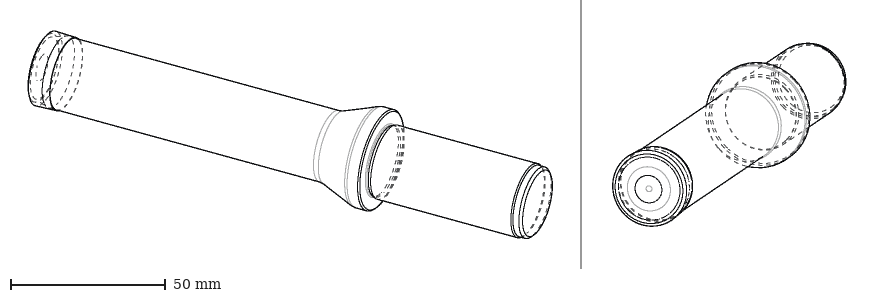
import cadquery as cq
import math

TOTAL_LENGTH = 178.0

CAP_DIAMETER = 25.1
CAP_END_DIAMETER = 24.5
CAP_END = 8.7
CAP_CHAMFER_END = 1.2
FACE_DIAMETER = 23.0
FACE_EDGE = 0.5
RING_BASE_DIAMETER = 14.6
RING_CREST_DIAMETER = 9.0
DISH_FLOOR_DIAMETER = 2.0
RING_SLOPE = math.tan(math.radians(9))
RING_HEIGHT = (RING_BASE_DIAMETER - RING_CREST_DIAMETER) / 2 * RING_SLOPE
DISH_DEPTH = (RING_CREST_DIAMETER - DISH_FLOOR_DIAMETER) / 2 * RING_SLOPE

TIP_DIAMETER = 20.8
TIP_FACE = 0.9
TIP_TAPER_END = 5.9

SHAFT_DIAMETER = 24.0
SHAFT_END = 103.6
CONE_BLEND_RADIUS = 5.3
CONE_BLEND_SETBACK = 0.7
FLANGE_DIAMETER = 34.0
FLANGE_SHOULDER = 117.3
FLANGE_BLEND_RADIUS = 2.7
FLANGE_BACK = 122.1
FLANGE_CHAMFER = 0.5
CONE_START = SHAFT_END + CONE_BLEND_SETBACK

SPIGOT_DIAMETER = 25.0
NECK_DIAMETER = 24.0
NECK_FILLET = 0.4
NECK_END = 123.0
SPIGOT_LEAD_LENGTH = 1.0
SPIGOT_END = 174.5
STEP_CHAMFER = 0.5
END_DIAMETER = 24.0
END_CHAMFER = 0.9


def revolve_profile(points):
    """Turn an outline of (x, radius) points, closed along the axis, into a solid."""
    return cq.Workplane("XY").polyline(points).close().revolve(360, (0, 0, 0), (1, 0, 0))


def edges_at(body, x, diameter):
    """Select the circular edge of the given diameter at position x."""
    tolerance = 0.02
    reach = diameter / 2 + tolerance
    corner_low = (x - tolerance, -reach, -reach)
    corner_high = (x + tolerance, reach, reach)
    return body.edges(cq.selectors.BoxSelector(corner_low, corner_high, boundingbox=True))


def make_cap():
    return revolve_profile([
        (DISH_DEPTH, 0),
        (DISH_DEPTH, DISH_FLOOR_DIAMETER / 2),
        (0, RING_CREST_DIAMETER / 2),
        (RING_HEIGHT, RING_BASE_DIAMETER / 2),
        (FACE_EDGE, FACE_DIAMETER / 2),
        (CAP_CHAMFER_END, CAP_DIAMETER / 2),
        (CAP_END, CAP_END_DIAMETER / 2),
        (CAP_END, SHAFT_DIAMETER / 2),
        (TIP_TAPER_END, SHAFT_DIAMETER / 2),
        (TIP_FACE, TIP_DIAMETER / 2),
        (TIP_FACE, 0),
    ])


def make_post():
    post = revolve_profile([
        (TIP_FACE, 0),
        (TIP_FACE, TIP_DIAMETER / 2),
        (TIP_TAPER_END, SHAFT_DIAMETER / 2),
        (CONE_START, SHAFT_DIAMETER / 2),
        (FLANGE_SHOULDER, FLANGE_DIAMETER / 2),
        (FLANGE_BACK - FLANGE_CHAMFER, FLANGE_DIAMETER / 2),
        (FLANGE_BACK, FLANGE_DIAMETER / 2 - FLANGE_CHAMFER),
        (FLANGE_BACK, NECK_DIAMETER / 2),
        (NECK_END, NECK_DIAMETER / 2),
        (NECK_END + SPIGOT_LEAD_LENGTH, SPIGOT_DIAMETER / 2),
        (SPIGOT_END, SPIGOT_DIAMETER / 2),
        (SPIGOT_END + STEP_CHAMFER, END_DIAMETER / 2),
        (TOTAL_LENGTH - END_CHAMFER, END_DIAMETER / 2),
        (TOTAL_LENGTH, END_DIAMETER / 2 - END_CHAMFER),
        (TOTAL_LENGTH, 0),
    ])
    post = edges_at(post, CONE_START, SHAFT_DIAMETER).fillet(CONE_BLEND_RADIUS)
    post = edges_at(post, FLANGE_SHOULDER, FLANGE_DIAMETER).fillet(FLANGE_BLEND_RADIUS)
    return edges_at(post, FLANGE_BACK, NECK_DIAMETER).fillet(NECK_FILLET)


cap = make_cap()
post = make_post()
result = cq.Compound.makeCompound([cap.val(), post.val()])